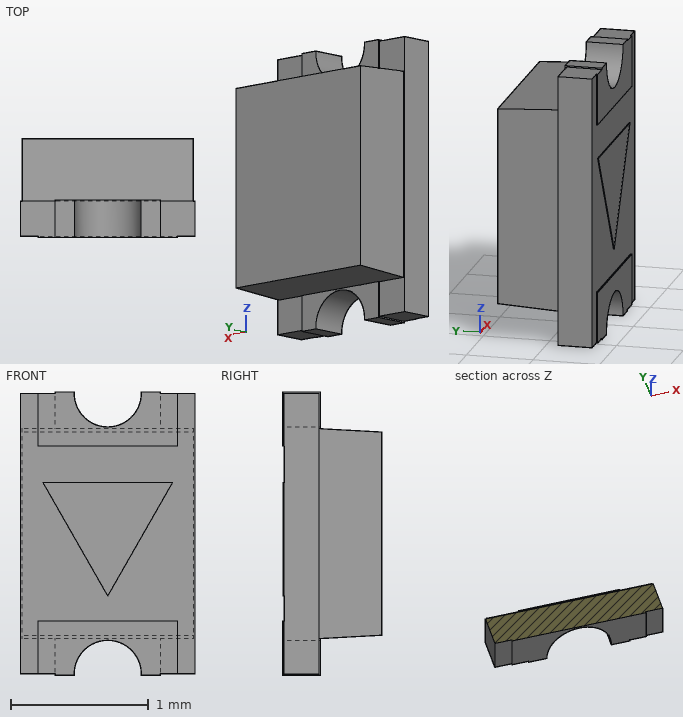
import cadquery as cq

total_height = 2.06
total_depth = 0.72
board_width = 1.27

plating = 0.01
board_thickness = 0.255
board_height = total_height - 2 * plating
front_pad_width = 1.014
pad_height = 0.393
edge_strip_width = 0.765
notch_radius = 0.243

triangle_width = 0.941
triangle_height = 0.825
triangle_top = 0.37
triangle_relief = 0.006

lens_width = 1.246
lens_base_height = 1.529
lens_tip_height = 1.48

board_back = board_thickness
lens_back = total_depth - plating
back_pad_height = (total_height - lens_base_height) / 2


def block(width, y_front, y_back, z_bottom, z_top):
    """Box centred on X that spans the given Y and Z limits."""
    return cq.Workplane("XY").box(
        width, y_back - y_front, z_top - z_bottom, centered=(True, False, False)
    ).translate((0, y_front, z_bottom))


def make_upper_contact():
    """Front pad, edge strip and back pad that wrap round the upper end of the board."""
    board_top = board_height / 2
    outer_top = total_height / 2
    front_pad = block(front_pad_width, -plating, 0, outer_top - pad_height, board_top)
    edge_strip = block(edge_strip_width, -plating, board_back + plating, board_top, outer_top)
    back_pad = block(
        edge_strip_width, board_back, board_back + plating, outer_top - back_pad_height, board_top
    )
    return front_pad.union(edge_strip).union(back_pad)


def make_triangle():
    """Triangle raised from the front face, pointing down."""
    return (
        cq.Workplane("XZ")
        .moveTo(-triangle_width / 2, triangle_top)
        .lineTo(triangle_width / 2, triangle_top)
        .lineTo(0, triangle_top - triangle_height)
        .close()
        .extrude(triangle_relief)
    )


def make_notch(z_centre):
    """Round cutter along Y for the half-round notch at one end."""
    length = board_thickness + 2 * plating
    return (
        cq.Workplane("XZ", origin=(0, board_back + plating, 0))
        .center(0, z_centre)
        .circle(notch_radius)
        .extrude(length)
    )


def make_board():
    """Board with its two contacts, polarity triangle and end notches."""
    board = block(board_width, 0, board_back, -board_height / 2, board_height / 2)
    upper_contact = make_upper_contact()
    board = board.union(upper_contact).union(upper_contact.mirror("XY"))
    board = board.union(make_triangle())
    for end in (-1, 1):
        board = board.cut(make_notch(end * board_height / 2))
    return board


def make_lens():
    """Lens on the back of the board, with sloping upper and lower faces."""
    return (
        cq.Workplane("YZ")
        .moveTo(board_back, -lens_base_height / 2)
        .lineTo(lens_back, -lens_tip_height / 2)
        .lineTo(lens_back, lens_tip_height / 2)
        .lineTo(board_back, lens_base_height / 2)
        .close()
        .extrude(lens_width / 2, both=True)
    )


board = make_board()
lens = make_lens()
result = cq.Compound.makeCompound([board.solids().val(), lens.solids().val()])